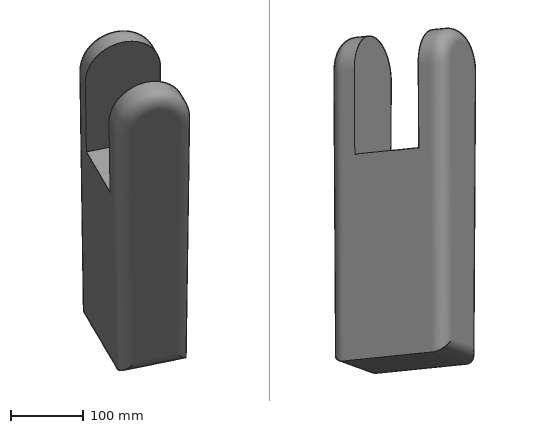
import cadquery as cq
import math

width = 180.0
height = 464.5
depth = 110.0
base_depth = 100.0
slot_width = 100.0
slot_floor = 289.5
edge_radius = 20.0

half_base = base_depth / 2
top_radius = depth / 2
arc_center = height - top_radius
corner_distance = math.hypot(half_base, arc_center)
corner_direction = math.atan2(-arc_center, half_base)
tangent_angle = corner_direction + math.acos(top_radius / corner_distance)
tangent_y = top_radius * math.cos(tangent_angle)
tangent_z = arc_center + top_radius * math.sin(tangent_angle)


def tapered_body():
    """Round-topped tapered profile in YZ, extruded along X with rounded end faces."""
    body = (
        cq.Workplane("YZ")
        .moveTo(-half_base, 0)
        .lineTo(half_base, 0)
        .lineTo(tangent_y, tangent_z)
        .threePointArc((0, height), (-tangent_y, tangent_z))
        .close()
        .extrude(width / 2, both=True)
    )
    return body.faces("<X or >X").edges().fillet(edge_radius)


def fork_slot():
    """Open-topped slot that passes through the full depth and leaves two prongs."""
    slot_length = 2 * depth
    return (
        cq.Workplane("XY", origin=(0, 0, slot_floor))
        .rect(slot_width, slot_length)
        .extrude(height - slot_floor)
    )


result = tapered_body().cut(fork_slot())